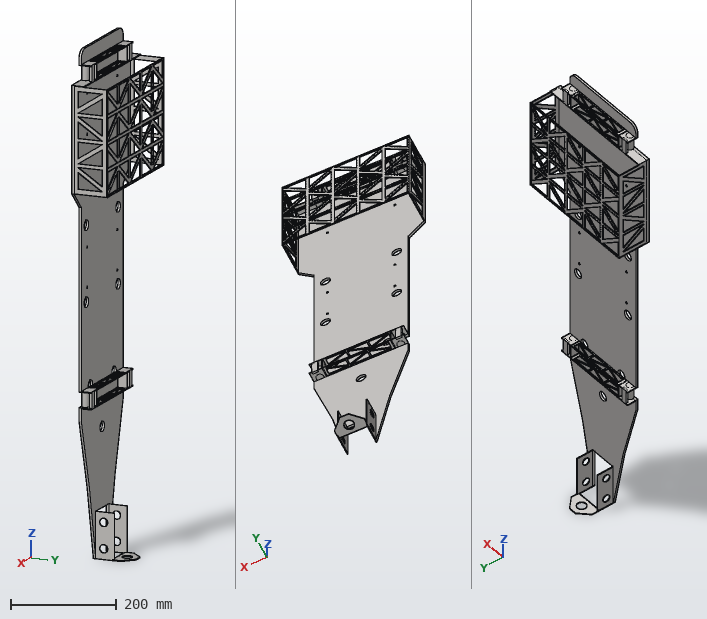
import cadquery as cq

LENGTH = 1008.0
PLATE_THICKNESS = 5.0
SHEET = 2.0
BODY_HALF_WIDTH = 99.0
HEAD_HALF_WIDTH = 133.0
HEAD_BOTTOM = 736.0
SHOULDER = 948.0
TOP_CORNER_RADIUS = 18.0
TAPER_TOP = 284.0
TAPER_KNEE_HALF_WIDTH = 60.0
TAPER_KNEE = 145.0
FOOT_HALF_WIDTH = 31.0

NOTCH_INNER = 71.0
NOTCH_HEIGHT = 30.0
LOWER_NOTCH_BOTTOM = 311.0

HOLE_RADIUS = 10.0
SIDE_HOLE_X = 75.0
SIDE_HOLE_HEIGHTS = (511.0, 662.0)
LOWER_HOLE_X = 55.0
LOWER_HOLE_Z = 345.0
CENTRE_HOLE_Z = 251.0
PIN_HOLE_RADIUS = 2.0
PIN_HOLE_X = 71.0
PIN_HOLE_HEIGHTS = (539.0, 618.0, 838.0, 919.0)

BOX_TOP = SHOULDER - SHEET
BOX_DEPTH = 74.0
SIDE_SILL = 10.0
BOX_BAR = 7.0
BOX_BRACE_FOOT = 10.0
BOX_ROWS = 4
SIDE_CELL_HEIGHT = 42.0
SIDE_OPENING_FRONT = 13.0
SIDE_OPENING_BACK = 63.0
BACK_COLUMNS = 5

SHELF_BACK = 25.0
SHELF_CELLS = 3
SHELF_BAR = 3.0
SHELF_BRACE_FOOT = 2.0
SHELF_OPENING_HALF_WIDTH = 66.0
SHELF_OPENING_FRONT = PLATE_THICKNESS + SHELF_BAR
SHELF_OPENING_BACK = SHELF_BACK - SHELF_BAR
ROLLER_RADIUS = 7.6
ROLLER_X = 85.0
POST_INNER = 82.0
POST_OUTER = 94.0
POST_FRONT = 20.0

CLEVIS_HEIGHT = 93.0
CLEVIS_DEPTH = 43.0
CLEVIS_HOLE_RADIUS = 8.0
CLEVIS_HOLE_Y = 21.0
CLEVIS_HOLE_HEIGHTS = (21.0, 73.0)
TAB_FRONT = 38.0
TAB_BACK = 79.0
TAB_TIP_HALF_WIDTH = 9.0
TAB_HOLE_Y = 56.0


def box(x_range, y_range, z_range):
    """Block spanning the three given (low, high) ranges."""
    size = [high - low for low, high in (x_range, y_range, z_range)]
    corner = (x_range[0], y_range[0], z_range[0])
    return cq.Workplane("XY").box(*size, centered=False).translate(corner)


def both_sides(body):
    """The body together with its mirror image across the YZ plane."""
    return body.union(body.mirror("YZ"))


def truss_openings(plane, start, cell, counts, bar, brace_foot, depth, first_rising=False):
    """Triangular openings that leave a grid of bars with one diagonal brace in each cell.

    The grid starts at the lower corner given in the plane's own coordinates and reaches depth to both
    sides of the plane. A brace runs from corner to corner and its ends are brace_foot tall. It is turned
    the other way from those of the neighbouring cells.
    """
    width, height = cell
    columns, rows = counts
    openings = cq.Workplane(plane)
    for column in range(columns):
        for row in range(rows):
            left = start[0] + column * (width + bar)
            bottom = start[1] + row * (height + bar)
            right = left + width
            top = bottom + height
            rising = first_rising == ((column + row) % 2 == 0)
            low_side, high_side = (left, right) if rising else (right, left)
            below = [(low_side, bottom), (high_side, bottom), (high_side, top - brace_foot)]
            above = [(high_side, top), (low_side, top), (low_side, bottom + brace_foot)]
            for triangle in (below, above):
                prism = cq.Workplane(plane).polyline(triangle).close().extrude(depth, both=True)
                openings = openings.union(prism)
    return openings


def plate_holes(radius, places):
    """Round cutters through the plate at the given (x, z) places."""
    return cq.Workplane("XZ").pushPoints(places).circle(radius).extrude(-2 * PLATE_THICKNESS)


def make_plate():
    """Flat plate: rounded top, wide head, straight body and a two-step taper to the foot."""
    chamfer = HEAD_HALF_WIDTH - BODY_HALF_WIDTH
    right_side = [
        (FOOT_HALF_WIDTH, 0),
        (TAPER_KNEE_HALF_WIDTH, TAPER_KNEE),
        (BODY_HALF_WIDTH, TAPER_TOP),
        (BODY_HALF_WIDTH, HEAD_BOTTOM - chamfer),
        (HEAD_HALF_WIDTH, HEAD_BOTTOM),
        (HEAD_HALF_WIDTH, SHOULDER),
        (BODY_HALF_WIDTH, SHOULDER),
        (BODY_HALF_WIDTH, LENGTH),
    ]
    left_side = [(-x, z) for x, z in reversed(right_side)]
    plate = cq.Workplane("XZ").polyline(right_side + left_side).close().extrude(-PLATE_THICKNESS)
    plate = plate.edges("|Y and >Z").fillet(TOP_CORNER_RADIUS)

    through = (-PLATE_THICKNESS, 2 * PLATE_THICKNESS)
    for bottom in (LOWER_NOTCH_BOTTOM, SHOULDER):
        notch = box((NOTCH_INNER, HEAD_HALF_WIDTH), through, (bottom, bottom + NOTCH_HEIGHT))
        plate = plate.cut(both_sides(notch))

    window_half_width = FOOT_HALF_WIDTH - SHEET
    plate = plate.cut(box((-window_half_width, window_half_width), through, (0, CLEVIS_HEIGHT)))

    large_holes = [(side * SIDE_HOLE_X, z) for side in (-1, 1) for z in SIDE_HOLE_HEIGHTS]
    large_holes += [(-LOWER_HOLE_X, LOWER_HOLE_Z), (LOWER_HOLE_X, LOWER_HOLE_Z), (0, CENTRE_HOLE_Z)]
    pin_holes = [(side * PIN_HOLE_X, z) for side in (-1, 1) for z in PIN_HOLE_HEIGHTS]
    return plate.cut(plate_holes(HOLE_RADIUS, large_holes)).cut(plate_holes(PIN_HOLE_RADIUS, pin_holes))


def make_head_box():
    """Two trussed side walls and a trussed back panel, open at the top and bottom."""
    heights = (HEAD_BOTTOM, BOX_TOP)

    wall = box((HEAD_HALF_WIDTH - SHEET, HEAD_HALF_WIDTH), (0, BOX_DEPTH), heights)
    start = (SIDE_OPENING_FRONT, HEAD_BOTTOM + SIDE_SILL)
    cell = (SIDE_OPENING_BACK - SIDE_OPENING_FRONT, SIDE_CELL_HEIGHT)
    counts = (1, BOX_ROWS)
    reach = 2 * HEAD_HALF_WIDTH
    wall = wall.cut(truss_openings("YZ", start, cell, counts, BOX_BAR, BOX_BRACE_FOOT, reach))

    panel = box((-HEAD_HALF_WIDTH, HEAD_HALF_WIDTH), (BOX_DEPTH - SHEET, BOX_DEPTH), heights)
    start = (-HEAD_HALF_WIDTH + BOX_BAR / 2, HEAD_BOTTOM + BOX_BAR / 2)
    column_pitch = 2 * HEAD_HALF_WIDTH / BACK_COLUMNS
    row_pitch = (BOX_TOP - HEAD_BOTTOM) / BOX_ROWS
    cell = (column_pitch - BOX_BAR, row_pitch - BOX_BAR)
    counts = (BACK_COLUMNS, BOX_ROWS)
    reach = 2 * BOX_DEPTH
    panel = panel.cut(truss_openings("XZ", start, cell, counts, BOX_BAR, BOX_BRACE_FOOT, reach))
    return both_sides(wall).union(panel)


def shelf_openings(first_rising):
    """Cutters for the braced openings of a bracket shelf, between its front and back rails."""
    cell_width = (2 * SHELF_OPENING_HALF_WIDTH - (SHELF_CELLS - 1) * SHELF_BAR) / SHELF_CELLS
    cell = (cell_width, SHELF_OPENING_BACK - SHELF_OPENING_FRONT)
    start = (-SHELF_OPENING_HALF_WIDTH, SHELF_OPENING_FRONT)
    counts = (SHELF_CELLS, 1)
    return truss_openings("XY", start, cell, counts, SHELF_BAR, SHELF_BRACE_FOOT, LENGTH, first_rising)


def make_roller_bracket(notch_bottom, lower_half_width):
    """Trussed shelves below and above a pair of notches, joined by webs, posts and upright rollers.

    The braces of the two shelves are turned opposite ways.
    """
    notch_top = notch_bottom + NOTCH_HEIGHT
    depth = (PLATE_THICKNESS, SHELF_BACK)
    lower = box((-lower_half_width, lower_half_width), depth, (notch_bottom - SHEET, notch_bottom))
    lower = lower.cut(shelf_openings(first_rising=True))
    upper = box((-BODY_HALF_WIDTH, BODY_HALF_WIDTH), depth, (notch_top, notch_top + SHEET))
    upper = upper.cut(shelf_openings(first_rising=False))

    upright = (notch_bottom, notch_top)
    web = box((NOTCH_INNER, NOTCH_INNER + SHEET), depth, upright)
    post = box((POST_INNER, POST_OUTER), (POST_FRONT, SHELF_BACK), upright)
    roller = (
        cq.Workplane("XY", origin=(ROLLER_X, ROLLER_RADIUS, notch_bottom))
        .circle(ROLLER_RADIUS)
        .extrude(NOTCH_HEIGHT)
    )
    return lower.union(upper).union(both_sides(web.union(post).union(roller)))


def make_clevis():
    """Two drilled cheeks beside the foot window and a pierced tab across their lower ends."""
    cheek = box((FOOT_HALF_WIDTH - SHEET, FOOT_HALF_WIDTH), (0, CLEVIS_DEPTH), (0, CLEVIS_HEIGHT))
    hole_places = [(CLEVIS_HOLE_Y, z) for z in CLEVIS_HOLE_HEIGHTS]
    holes = cq.Workplane("YZ").pushPoints(hole_places).circle(CLEVIS_HOLE_RADIUS).extrude(FOOT_HALF_WIDTH)
    cheek = cheek.cut(holes)

    tab_shoulder = TAB_BACK - (FOOT_HALF_WIDTH - TAB_TIP_HALF_WIDTH)
    right_edge = [
        (FOOT_HALF_WIDTH, TAB_FRONT),
        (FOOT_HALF_WIDTH, tab_shoulder),
        (TAB_TIP_HALF_WIDTH, TAB_BACK),
    ]
    left_edge = [(-x, y) for x, y in reversed(right_edge)]
    tab = cq.Workplane("XY").polyline(right_edge + left_edge).close().extrude(SHEET)
    tab = tab.cut(cq.Workplane("XY").center(0, TAB_HOLE_Y).circle(HOLE_RADIUS).extrude(SHEET))
    return both_sides(cheek).union(tab)


result = (
    make_plate()
    .union(make_head_box())
    .union(make_roller_bracket(SHOULDER, HEAD_HALF_WIDTH))
    .union(make_roller_bracket(LOWER_NOTCH_BOTTOM, BODY_HALF_WIDTH))
    .union(make_clevis())
)